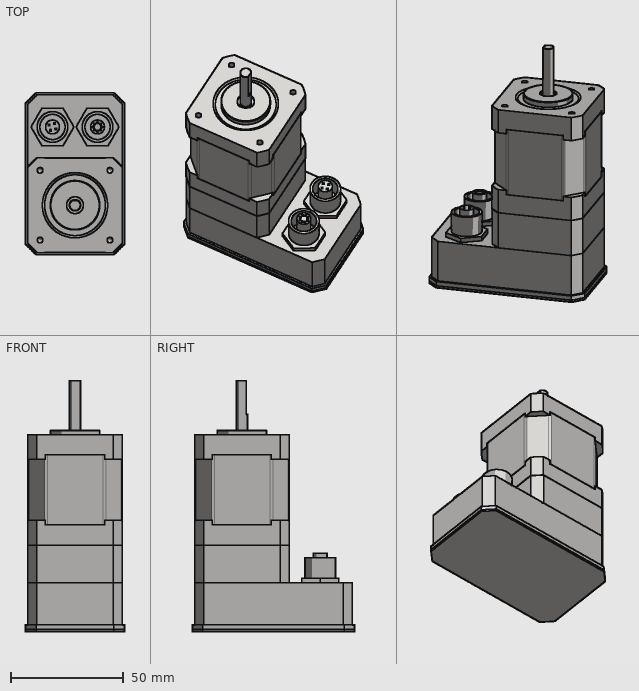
import cadquery as cq
import math


COVER_THICKNESS = 1.0
RIM_PLATE_THICKNESS = 2.0
HOUSING_HEIGHT = 18.8
SPACER_HEIGHT = 16.7
MOTOR_HEIGHT = 49.0
SHAFT_LENGTH = 24.0

RIM_PLATE_Z = COVER_THICKNESS
HOUSING_Z = RIM_PLATE_Z + RIM_PLATE_THICKNESS
SPACER_Z = HOUSING_Z + HOUSING_HEIGHT
MOTOR_Z = SPACER_Z + SPACER_HEIGHT
MOTOR_TOP_Z = MOTOR_Z + MOTOR_HEIGHT

MOTOR_WIDTH = 42.0
HOUSING_LENGTH = 70.0
HOUSING_CHAMFER = 4.1
PLATE_OVERHANG = 1.0
PLATE_WIDTH = MOTOR_WIDTH + 2 * PLATE_OVERHANG
PLATE_LENGTH = HOUSING_LENGTH + 2 * PLATE_OVERHANG
PLATE_CHAMFER = HOUSING_CHAMFER + PLATE_OVERHANG * (2 - math.sqrt(2))
HOUSING_CENTER_Y = (HOUSING_LENGTH - MOTOR_WIDTH) / 2

MOTOR_CORNER_RADIUS = 27.0
STATOR_RECESS = 0.05
STATOR_WIDTH = MOTOR_WIDTH - 2 * STATOR_RECESS
STATOR_FACE_WIDTH = 26.2
STATOR_CHAMFER = (STATOR_WIDTH - STATOR_FACE_WIDTH) / 2
STATOR_EDGE_RADIUS = 2.0
STATOR_HEIGHT = 27.0
STATOR_FACE_EXTENSION = 2.0
STATOR_Z = MOTOR_Z + (MOTOR_HEIGHT - STATOR_HEIGHT) / 2
STATOR_FACE_HEIGHT = STATOR_HEIGHT + 2 * STATOR_FACE_EXTENSION
CAP_NOTCH_DEPTH = 1.0

PILOT_DIAMETER = 22.0
PILOT_HEIGHT = 2.0
PILOT_CHAMFER = 0.25
RECESS_TOP_DIAMETER = 29.0
RECESS_FLOOR_DIAMETER = 27.0
RECESS_DEPTH = 0.5
SHAFT_DIAMETER = 5.0
SHAFT_FLAT_DEPTH = 0.5
SHAFT_FLAT_LENGTH = 15.0
SHAFT_END_CHAMFER = 0.15
SHAFT_CLEARANCE_DIAMETER = 7.5
SHAFT_CLEARANCE_DEPTH = 0.75
MOUNT_HOLE_PITCH = 31.0
MOUNT_HOLE_DIAMETER = 2.5
MOUNT_HOLE_DEPTH = 4.5
DRILL_POINT_ANGLE = 118.0

CONNECTOR_PITCH = 20.0
CONNECTOR_Y = 34.75
NUT_ACROSS_FLATS = 16.5
NUT_HEIGHT = 2.0
SHELL_OUTER_DIAMETER = 13.6
SHELL_INNER_DIAMETER = 11.2
SHELL_HEIGHT = 9.1
INSERT_DIAMETER = 6.2
INSERT_PROTRUSION = 2.0
CONTACT_DIAMETER = 0.8
CONTACT_DEPTH = 3.0
FOUR_CONTACT_CIRCLE_DIAMETER = 3.5
FOUR_CONTACT_START_ANGLE = 60.0
EIGHT_CONTACT_CIRCLE_DIAMETER = 3.7
EIGHT_CONTACT_START_ANGLE = 0.0


def chamfered_block(width, length, chamfer, height, base_z, center_y=0.0):
    """Upright rectangular block with its four vertical edges chamfered."""
    return (
        cq.Workplane("XY", origin=(0, center_y, base_z))
        .rect(width, length)
        .extrude(height)
        .edges("|Z")
        .chamfer(chamfer)
    )


def cylinder(diameter, height, base_z):
    """Upright cylinder on the motor axis."""
    return cq.Workplane("XY", origin=(0, 0, base_z)).circle(diameter / 2).extrude(height)


def end_cap(base_z, height):
    """Square cap whose corners are turned to a cylinder about the motor axis."""
    square = cq.Workplane("XY", origin=(0, 0, base_z)).rect(MOTOR_WIDTH, MOTOR_WIDTH).extrude(height)
    return square.intersect(cylinder(2 * MOTOR_CORNER_RADIUS, height, base_z))


def stator():
    """Octagonal core; its four main faces reach a little way into both caps."""
    octagon = chamfered_block(
        STATOR_WIDTH, STATOR_WIDTH, STATOR_CHAMFER, STATOR_FACE_HEIGHT, STATOR_Z - STATOR_FACE_EXTENSION
    )
    return octagon.edges("|Z").fillet(STATOR_EDGE_RADIUS)


def cap_notches():
    """Shallow side cuts in the caps that make room for the ends of the stator faces."""
    mid_z = STATOR_Z + STATOR_HEIGHT / 2
    inner_width = MOTOR_WIDTH - 2 * CAP_NOTCH_DEPTH
    frame = cq.Workplane("XY").box(MOTOR_WIDTH, MOTOR_WIDTH, STATOR_FACE_HEIGHT)
    frame = frame.cut(cq.Workplane("XY").box(inner_width, inner_width, STATOR_FACE_HEIGHT))
    along_x = cq.Workplane("XY").box(MOTOR_WIDTH, STATOR_FACE_WIDTH, STATOR_FACE_HEIGHT)
    along_y = cq.Workplane("XY").box(STATOR_FACE_WIDTH, MOTOR_WIDTH, STATOR_FACE_HEIGHT)
    return frame.intersect(along_x.union(along_y)).translate((0, 0, mid_z))


def face_recess():
    """Shallow dished recess with a conical wall around the pilot."""
    top_radius = RECESS_TOP_DIAMETER / 2
    floor_radius = RECESS_FLOOR_DIAMETER / 2
    floor_z = MOTOR_TOP_Z - RECESS_DEPTH
    profile = [(0, floor_z), (floor_radius, floor_z), (top_radius, MOTOR_TOP_Z), (0, MOTOR_TOP_Z)]
    return cq.Workplane("XZ").polyline(profile).close().revolve(360, (0, 0, 0), (0, 1, 0))


def mounting_holes():
    """Four blind holes with drill-point bottoms."""
    radius = MOUNT_HOLE_DIAMETER / 2
    shoulder_z = MOTOR_TOP_Z - MOUNT_HOLE_DEPTH
    tip_z = shoulder_z - radius / math.tan(math.radians(DRILL_POINT_ANGLE / 2))
    profile = [(0, tip_z), (radius, shoulder_z), (radius, MOTOR_TOP_Z), (0, MOTOR_TOP_Z)]
    hole = cq.Workplane("XZ").polyline(profile).close().revolve(360, (0, 0, 0), (0, 1, 0)).val()
    positions = cq.Workplane("XY").rect(MOUNT_HOLE_PITCH, MOUNT_HOLE_PITCH, forConstruction=True).vertices()
    return positions.eachpoint(lambda location: hole.moved(location))


def shaft():
    """Output shaft with a flat on its +Y side near the free end."""
    shaft_base_z = MOTOR_TOP_Z - RECESS_DEPTH
    shaft_end_z = MOTOR_TOP_Z + SHAFT_LENGTH
    flat_y = SHAFT_DIAMETER / 2 - SHAFT_FLAT_DEPTH
    flat_cut = (
        cq.Workplane("XY", origin=(0, flat_y, shaft_end_z - SHAFT_FLAT_LENGTH))
        .box(SHAFT_DIAMETER, SHAFT_FLAT_DEPTH, SHAFT_FLAT_LENGTH, centered=(True, False, False))
    )
    rod = cylinder(SHAFT_DIAMETER, shaft_end_z - shaft_base_z, shaft_base_z)
    return rod.faces(">Z").edges().chamfer(SHAFT_END_CHAMFER).cut(flat_cut)


def build_motor():
    cap_height = (MOTOR_HEIGHT - STATOR_HEIGHT) / 2
    rear_cap = end_cap(MOTOR_Z, cap_height)
    front_cap = end_cap(STATOR_Z + STATOR_HEIGHT, cap_height)
    body = rear_cap.union(front_cap).cut(cap_notches()).union(stator())
    body = body.cut(face_recess()).cut(mounting_holes())

    pilot_base_z = MOTOR_TOP_Z - RECESS_DEPTH
    pilot = cylinder(PILOT_DIAMETER, PILOT_HEIGHT + RECESS_DEPTH, pilot_base_z)
    pilot = pilot.faces(">Z").edges().chamfer(PILOT_CHAMFER)
    clearance_floor_z = MOTOR_TOP_Z + PILOT_HEIGHT - SHAFT_CLEARANCE_DEPTH
    pilot = pilot.cut(cylinder(SHAFT_CLEARANCE_DIAMETER, SHAFT_CLEARANCE_DEPTH, clearance_floor_z))
    return body.union(pilot).union(shaft())


def build_connector(center_x, contact_count, contact_circle_diameter, start_angle):
    """Hex nut, tubular shell and a central insert with a ring of contact holes."""
    nut_corner_diameter = NUT_ACROSS_FLATS / math.cos(math.radians(30))
    shell_z = SPACER_Z + NUT_HEIGHT
    insert_height = SHELL_HEIGHT + INSERT_PROTRUSION
    nut = cq.Workplane("XY", origin=(0, 0, SPACER_Z)).polygon(6, nut_corner_diameter).extrude(NUT_HEIGHT)
    shell = cylinder(SHELL_OUTER_DIAMETER, SHELL_HEIGHT, shell_z)
    shell = shell.cut(cylinder(SHELL_INNER_DIAMETER, SHELL_HEIGHT, shell_z))
    insert = cylinder(INSERT_DIAMETER, insert_height, shell_z)
    contacts = (
        cq.Workplane("XY", origin=(0, 0, shell_z + insert_height))
        .polarArray(contact_circle_diameter / 2, start_angle, 360, contact_count)
        .circle(CONTACT_DIAMETER / 2)
        .extrude(-CONTACT_DEPTH)
    )
    connector = nut.union(shell).union(insert).cut(contacts)
    return connector.translate((center_x, CONNECTOR_Y, 0))


cover = chamfered_block(
    PLATE_WIDTH, PLATE_LENGTH, PLATE_CHAMFER, COVER_THICKNESS, 0, HOUSING_CENTER_Y
)
rim_plate = chamfered_block(
    PLATE_WIDTH, PLATE_LENGTH, PLATE_CHAMFER, RIM_PLATE_THICKNESS, RIM_PLATE_Z, HOUSING_CENTER_Y
)
housing = chamfered_block(
    MOTOR_WIDTH, HOUSING_LENGTH, HOUSING_CHAMFER, HOUSING_HEIGHT, HOUSING_Z, HOUSING_CENTER_Y
)
spacer = chamfered_block(MOTOR_WIDTH, MOTOR_WIDTH, HOUSING_CHAMFER, SPACER_HEIGHT, SPACER_Z)
motor = build_motor()
four_contact_connector = build_connector(
    -CONNECTOR_PITCH / 2, 4, FOUR_CONTACT_CIRCLE_DIAMETER, FOUR_CONTACT_START_ANGLE
)
eight_contact_connector = build_connector(
    CONNECTOR_PITCH / 2, 8, EIGHT_CONTACT_CIRCLE_DIAMETER, EIGHT_CONTACT_START_ANGLE
)

result = cq.Compound.makeCompound([
    cover.val(),
    rim_plate.val(),
    housing.val(),
    spacer.val(),
    motor.val(),
    four_contact_connector.val(),
    eight_contact_connector.val(),
])